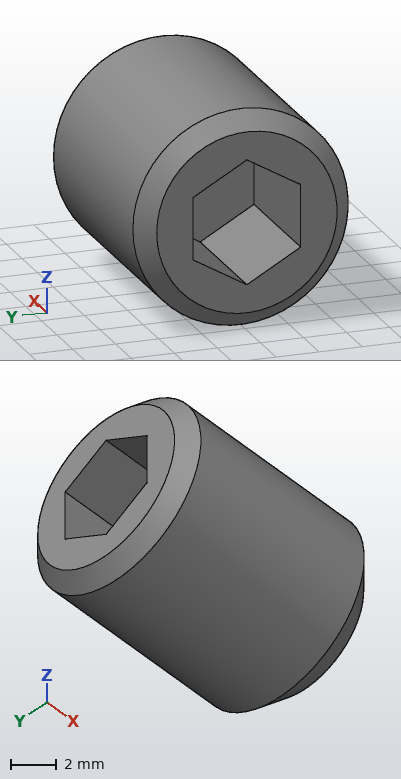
import cadquery as cq
import math

length = 12.5
diameter = 10.0
socket_end_chamfer = 0.81
point_end_chamfer = 1.5
socket_across_flats = 5.0
socket_depth = 6.0

socket_end_x = -length / 2


def make_body():
    """Cylinder with a small chamfer at the socket end and a larger one at the point."""
    cylinder = cq.Workplane("YZ", origin=(socket_end_x, 0, 0)).circle(diameter / 2).extrude(length)
    chamfered = cylinder.faces("<X").edges().chamfer(socket_end_chamfer)
    return chamfered.faces(">X").edges().chamfer(point_end_chamfer)


def make_socket():
    """Hexagonal prism with two flats facing along Y and corners along Z."""
    across_corners = socket_across_flats / math.cos(math.radians(30))
    corner_up = 90
    return (
        cq.Workplane("YZ", origin=(socket_end_x, 0, 0))
        .transformed(rotate=(0, 0, corner_up))
        .polygon(6, across_corners)
        .extrude(socket_depth)
    )


result = make_body().cut(make_socket())